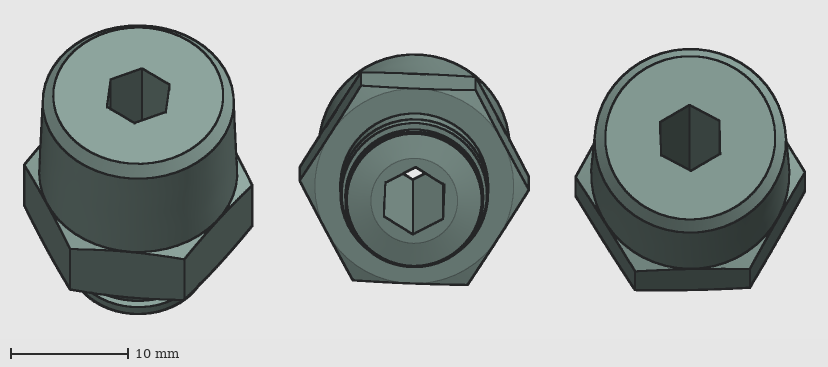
import cadquery as cq
import math

total_height = 23.9
hex_flats = 17.0
hex_corners = hex_flats / math.cos(math.radians(30))
hex_bottom = 6.4
hex_top = 12.9
hex_chamfer_angle = 15.0

shank_base_diameter = 16.95
shank_shoulder_diameter = 16.35
shank_chamfer = 0.9

sleeve_diameter = 12.67
sleeve_band_diameter = 12.65
sleeve_rim_diameter = 12.4
sleeve_bottom = 2.87
sleeve_bevel_top = 3.27
sleeve_band_top = 3.92

neck_diameter = 7.9
neck_foot_diameter = 8.22
neck_foot_top = 1.9
flange_diameter = 11.8
flange_top = 1.58
flange_edge_bottom = 0.57
flange_rim_diameter = 11.52
flange_rim_bottom = 0.43
flange_face_diameter = 7.4

socket_flats = 5.07


def revolve_profile(stations):
    """Solid of revolution about Z from (diameter, height) stations, bottom to top."""
    bottom = stations[0][1]
    top = stations[-1][1]
    outline = [(0, bottom)]
    outline += [(diameter / 2, height) for diameter, height in stations]
    outline += [(0, top)]
    return cq.Workplane("XZ").polyline(outline).close().revolve(360, (0, 0), (0, 1))


def make_hex_body():
    """Hexagonal prism whose corners are cut back by a shallow cone at each end."""
    height = hex_top - hex_bottom
    corner_drop = (hex_corners - hex_flats) / 2 * math.tan(math.radians(hex_chamfer_angle))
    prism = cq.Workplane("XY").workplane(offset=hex_bottom).polygon(6, hex_corners).extrude(height)
    chamfer_envelope = revolve_profile([
        (hex_flats, hex_bottom),
        (hex_corners, hex_bottom + corner_drop),
        (hex_corners, hex_top - corner_drop),
        (hex_flats, hex_top),
    ])
    return prism.intersect(chamfer_envelope)


def make_shank():
    """Tapered shank on top of the hexagon, chamfered at its free end."""
    return revolve_profile([
        (shank_base_diameter, hex_top),
        (shank_shoulder_diameter, total_height - shank_chamfer),
        (shank_shoulder_diameter - 2 * shank_chamfer, total_height),
    ])


def make_sleeve_and_collar():
    """Turned lower end, from the flange face up to the hexagon."""
    return revolve_profile([
        (flange_face_diameter, 0),
        (flange_rim_diameter, flange_rim_bottom),
        (flange_diameter, flange_edge_bottom),
        (flange_diameter, flange_top),
        (neck_foot_diameter, flange_top),
        (neck_diameter, neck_foot_top),
        (neck_diameter, sleeve_bottom),
        (sleeve_rim_diameter, sleeve_bottom),
        (sleeve_band_diameter, sleeve_bevel_top),
        (sleeve_band_diameter, sleeve_band_top),
        (sleeve_diameter, sleeve_band_top),
        (sleeve_diameter, hex_bottom),
    ])


def make_socket():
    """Cutter for the hexagonal socket through the full height."""
    socket_corners = socket_flats / math.cos(math.radians(30))
    socket = cq.Workplane("XY").polygon(6, socket_corners).extrude(total_height)
    return socket.rotate((0, 0, 0), (0, 0, 1), 30)


body = make_hex_body().union(make_shank()).union(make_sleeve_and_collar())
result = body.cut(make_socket())